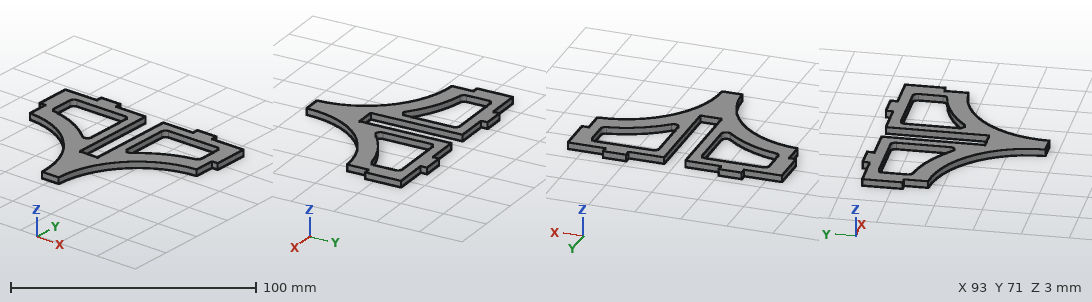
import cadquery as cq
import math

width = 93.0
height = 71.0
thickness = 3.0

tab_projection = thickness
top_tab_width = 10.0
top_tab_center = 25.1
side_tab_length = 16.8
body_half_width = width / 2 - tab_projection
body_top = height - tab_projection
side_tab_bottom = body_top - side_tab_length

slot_width = 9.2
slot_bottom = 25.0

foot_half_width = 4.4
edge_below_tab = 10.0
outer_edge_bottom = side_tab_bottom - edge_below_tab
arc_radius = 41.5

frame_width = 5.0
rib_width = 9.4
arc_band_width = 8.4
window_corner_radius = 2.0
window_outer = body_half_width - frame_width
window_inner = rib_width
window_top = body_top - frame_width


def arc_center():
    """Centre of the right concave arc, from its two ends and its radius."""
    run = body_half_width - foot_half_width
    chord = math.hypot(run, outer_edge_bottom)
    offset = math.sqrt(arc_radius**2 - (chord / 2) ** 2)
    x = (foot_half_width + body_half_width) / 2 + offset * outer_edge_bottom / chord
    y = outer_edge_bottom / 2 - offset * run / chord
    return x, y


center_x, center_y = arc_center()


def arc_height(x, radius):
    """Height at x of the upper half of a circle about the arc centre."""
    return center_y + math.sqrt(radius**2 - (x - center_x) ** 2)


def right_half():
    """Solid right half of the plate, including its two tabs."""
    middle_x = (foot_half_width + body_half_width) / 2
    outline = (
        cq.Workplane("XY")
        .lineTo(foot_half_width, 0)
        .threePointArc(
            (middle_x, arc_height(middle_x, arc_radius)),
            (body_half_width, outer_edge_bottom),
        )
        .lineTo(body_half_width, side_tab_bottom)
        .lineTo(width / 2, side_tab_bottom)
        .lineTo(width / 2, body_top)
        .lineTo(top_tab_center + top_tab_width / 2, body_top)
        .lineTo(top_tab_center + top_tab_width / 2, height)
        .lineTo(top_tab_center - top_tab_width / 2, height)
        .lineTo(top_tab_center - top_tab_width / 2, body_top)
        .lineTo(0, body_top)
        .close()
    )
    return outline.extrude(thickness)


def right_window():
    """Cutter for the right window, with rounded corners."""
    radius = arc_radius + arc_band_width
    middle_x = (window_inner + window_outer) / 2
    outline = (
        cq.Workplane("XY")
        .moveTo(window_inner, window_top)
        .lineTo(window_inner, arc_height(window_inner, radius))
        .threePointArc(
            (middle_x, arc_height(middle_x, radius)),
            (window_outer, arc_height(window_outer, radius)),
        )
        .lineTo(window_outer, window_top)
        .close()
    )
    return outline.extrude(thickness).edges("|Z").fillet(window_corner_radius)


def slot():
    """Cutter for the slot, open at the top of the body."""
    return (
        cq.Workplane("XY")
        .rect(slot_width, body_top - slot_bottom)
        .extrude(thickness)
        .translate((0, (slot_bottom + body_top) / 2, 0))
    )


half = right_half().cut(right_window())
result = half.union(half.mirror("YZ")).cut(slot())